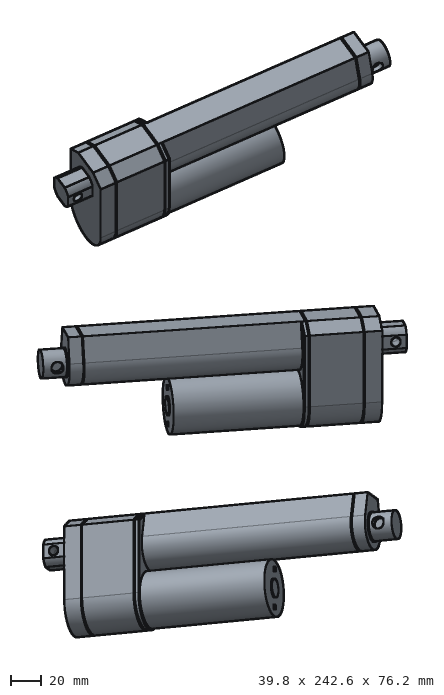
import cadquery as cq
import math

gearbox_start = 18.5
cover_seam = 30.0
flange_seam = 66.7
gearbox_end = 70.9
motor_end = 157.5
tube_seam = 216.2
tube_end = 226.1
rod_end = 242.6

flat_top_width = 19.7
gearbox_width = 39.8
gearbox_height = 76.2
gearbox_bevel_drop = 6.5
gearbox_radius = gearbox_width / 2
tube_radius = 15.3
tube_axis_z = -21.0
motor_diameter = 38.0
motor_axis_z = gearbox_radius - gearbox_height

seam_width = 0.7
seam_depth = 0.6
lip_length = 0.7

motor_boss_diameter = 12.5
motor_screw_diameter = 3.2
motor_screw_offset = 12.9
motor_detail_height = 0.7

rod_diameter = 19.2
rod_collar_diameter = 20.0
rod_collar_length = 0.7
rod_socket_diameter = 8.0
rod_socket_depth = 4.9
rod_socket_y = 233.2

lug_size = 18.7
lug_corner_diameter = 20.9
lug_axis_z = -19.2
lug_hole_diameter = 6.3
lug_hole_y = 7.3


def section_plane(y):
    """Plane across the actuator at y; extruding from it goes toward +Y."""
    return cq.Workplane(cq.Plane(origin=(0, y, 0), xDir=(-1, 0, 0), normal=(0, 1, 0)))


def cylinder(diameter, z, start, end):
    return section_plane(start).center(0, z).circle(diameter / 2).extrude(end - start)


def gearbox_outline(y):
    half_flat = flat_top_width / 2
    return (
        section_plane(y)
        .moveTo(-half_flat, 0)
        .lineTo(half_flat, 0)
        .lineTo(gearbox_radius, -gearbox_bevel_drop)
        .lineTo(gearbox_radius, motor_axis_z)
        .threePointArc((0, -gearbox_height), (-gearbox_radius, motor_axis_z))
        .lineTo(-gearbox_radius, -gearbox_bevel_drop)
        .close()
    )


def tube_outline(y):
    """Flat top whose sloping sides run tangent into the round underside."""
    half_flat = flat_top_width / 2
    corner_distance = math.hypot(half_flat, tube_axis_z)
    corner_angle = math.atan2(half_flat, -tube_axis_z)
    tangent_angle = corner_angle + math.acos(tube_radius / corner_distance)
    tangent_x = tube_radius * math.sin(tangent_angle)
    tangent_z = tube_axis_z + tube_radius * math.cos(tangent_angle)
    return (
        section_plane(y)
        .moveTo(-half_flat, 0)
        .lineTo(half_flat, 0)
        .lineTo(tangent_x, tangent_z)
        .threePointArc((0, tube_axis_z - tube_radius), (-tangent_x, tangent_z))
        .close()
    )


def edge_ring(outline, y, width):
    """Band just inside an outline, for cutting a seam or a lip."""
    core = outline(y).offset2D(-seam_depth).extrude(width)
    return outline(y).extrude(width).cut(core)


def make_gearbox():
    body = gearbox_outline(gearbox_start).extrude(gearbox_end - gearbox_start)
    for seam in (cover_seam, flange_seam):
        body = body.cut(edge_ring(gearbox_outline, seam, seam_width))
    return body.cut(edge_ring(gearbox_outline, gearbox_end - lip_length, lip_length))


def make_tube():
    body = tube_outline(gearbox_end - lip_length).extrude(tube_end - gearbox_end + lip_length)
    return body.cut(edge_ring(tube_outline, tube_seam, seam_width))


def make_motor():
    detail_end = motor_end + motor_detail_height
    motor = cylinder(motor_diameter, motor_axis_z, gearbox_end, motor_end)
    motor = motor.union(cylinder(motor_boss_diameter, motor_axis_z, motor_end, detail_end))
    for side in (-1, 1):
        screw_z = motor_axis_z + side * motor_screw_offset
        motor = motor.union(cylinder(motor_screw_diameter, screw_z, motor_end, detail_end))
    return motor


def make_rod():
    rod = cylinder(rod_diameter, tube_axis_z, tube_end, rod_end)
    collar = cylinder(rod_collar_diameter, tube_axis_z, tube_end, tube_end + rod_collar_length)
    rod = rod.union(collar)
    for side in (-1, 1):
        socket = (
            cq.Workplane("YZ", origin=(side * rod_diameter / 2, rod_socket_y, tube_axis_z))
            .circle(rod_socket_diameter / 2)
            .extrude(-side * rod_socket_depth)
        )
        rod = rod.cut(socket)
    return rod


def make_lug():
    lug = (
        section_plane(0)
        .center(0, lug_axis_z)
        .rect(lug_size, lug_size)
        .extrude(gearbox_start)
    )
    lug = lug.intersect(cylinder(lug_corner_diameter, lug_axis_z, 0, gearbox_start))
    pin_hole = (
        cq.Workplane("YZ", origin=(0, lug_hole_y, lug_axis_z))
        .circle(lug_hole_diameter / 2)
        .extrude(lug_size, both=True)
    )
    return lug.cut(pin_hole)


result = make_gearbox().union(make_tube()).union(make_motor()).union(make_rod()).union(make_lug())